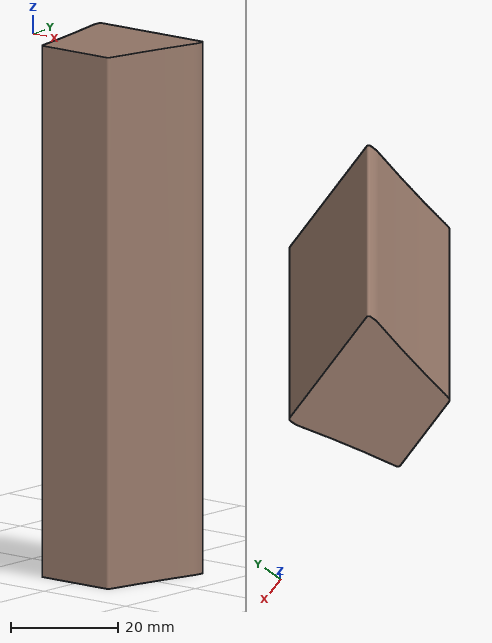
import cadquery as cq
import math

length = 101.6
back_width = 25.4
depth = 22.3

front_width = 16.5
shoulder_depth = 1.8
flank_sag = 0.2

back_radius = 0.5
shoulder_radius = 5.1
front_radius = 0.6

back_y = depth / 2
front_y = -depth / 2
shoulder_y = back_y - shoulder_depth
half_back = back_width / 2
half_front = front_width / 2

flank_run = half_back - half_front
flank_rise = shoulder_y - front_y
flank_chord = math.hypot(flank_run, flank_rise)
flank_mid_x = (half_back + half_front) / 2 - flank_sag * flank_rise / flank_chord
flank_mid_y = (shoulder_y + front_y) / 2 + flank_sag * flank_run / flank_chord


def round_edges(body, y, radius):
    """Round the pair of lengthwise edges at the given Y."""
    margin = 0.1
    edges = cq.selectors.BoxSelector(
        (-back_width, y - margin, 0),
        (back_width, y + margin, length),
    )
    return body.edges("|Z").edges(edges).fillet(radius)


bar = (
    cq.Workplane("XY")
    .moveTo(-half_back, back_y)
    .lineTo(half_back, back_y)
    .lineTo(half_back, shoulder_y)
    .threePointArc((flank_mid_x, flank_mid_y), (half_front, front_y))
    .lineTo(-half_front, front_y)
    .threePointArc((-flank_mid_x, flank_mid_y), (-half_back, shoulder_y))
    .close()
    .extrude(length)
)

bar = round_edges(bar, shoulder_y, shoulder_radius)
bar = round_edges(bar, back_y, back_radius)
result = round_edges(bar, front_y, front_radius)